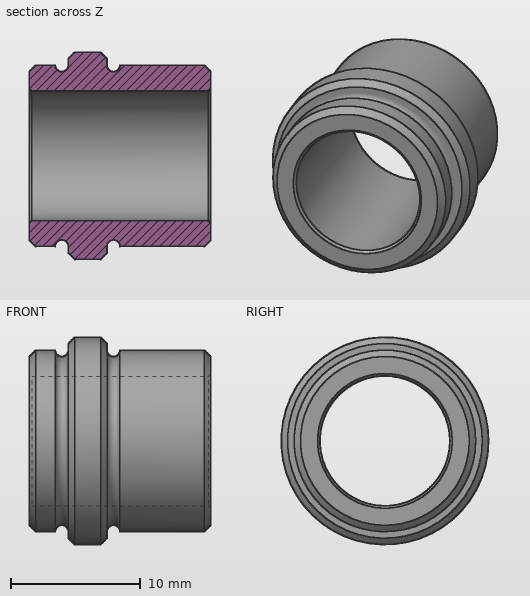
import cadquery as cq

length = 14.0
body_diameter = 14.0
collar_diameter = 16.0
bore_diameter = 10.0

collar_start = 3.0
collar_width = 3.0
groove_width = 1.0
edge_chamfer = 0.5
bore_chamfer = 0.2

body_radius = body_diameter / 2
collar_radius = collar_diameter / 2
bore_radius = bore_diameter / 2
collar_end = collar_start + collar_width
groove_radius = groove_width / 2
groove_floor = body_radius - groove_radius

section = (
    cq.Workplane("XY")
    .moveTo(0, bore_radius + bore_chamfer)
    .lineTo(0, body_radius - edge_chamfer)
    .lineTo(edge_chamfer, body_radius)
    .lineTo(collar_start - groove_width, body_radius)
    .threePointArc((collar_start - groove_radius, groove_floor), (collar_start, body_radius))
    .lineTo(collar_start, collar_radius - edge_chamfer)
    .lineTo(collar_start + edge_chamfer, collar_radius)
    .lineTo(collar_end - edge_chamfer, collar_radius)
    .lineTo(collar_end, collar_radius - edge_chamfer)
    .lineTo(collar_end, body_radius)
    .threePointArc((collar_end + groove_radius, groove_floor), (collar_end + groove_width, body_radius))
    .lineTo(length - edge_chamfer, body_radius)
    .lineTo(length, body_radius - edge_chamfer)
    .lineTo(length, bore_radius + bore_chamfer)
    .lineTo(length - bore_chamfer, bore_radius)
    .lineTo(bore_chamfer, bore_radius)
    .close()
)

result = section.revolve(360, (0, 0), (1, 0))